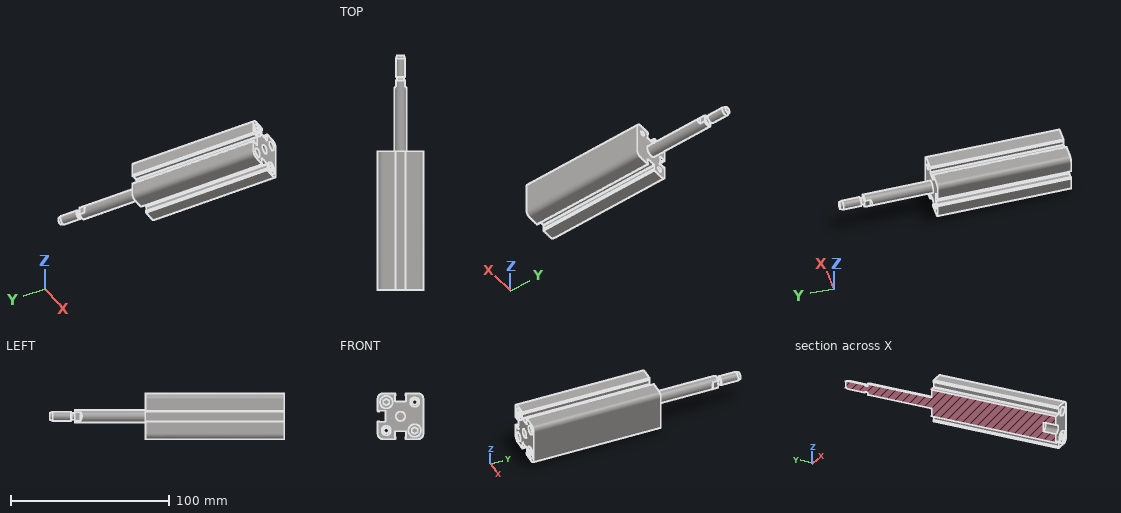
import cadquery as cq

OVERALL_LENGTH = 148.5
BODY_SIDE = 29.1
HALF_SIDE = BODY_SIDE / 2
CORNER_RADIUS = 3.5

CAP_LENGTH = 12.2
BODY_LENGTH = 87.9
TUBE_LENGTH = BODY_LENGTH - 2 * CAP_LENGTH

SLOT_MOUTH_WIDTH = 6.0
SLOT_INNER_WIDTH = 6.8
SLOT_DEPTH = 5.0
SLOT_LIP = 1.2
SLOT_MOUTH_CHAMFER = 0.5
SLOT_FLOOR_CHAMFER = 0.3
SLOT_ANGLES = (0, 90, 180)

FIXING_OFFSET = 18.0 / 2
COUNTERBORE_DIAMETER = 6.0
COUNTERBORE_DEPTH = 3.4
THROUGH_HOLE_DIAMETER = 3.3
CENTRE_HOLE_DIAMETER = 6.0
CENTRE_HOLE_DEPTH = 8.9
SCREW_RECESS_DIAMETER = 8.0
SCREW_RECESS_DEPTH = 0.3
HEX_CORNER_DIAMETER = 4.2
HEX_SIDES = 6
HEX_TURN = 90
HEX_DEPTH = 2.2

ROD_DIAMETER = 8.0
ROD_END_CHAMFER = 0.3
NECK_DIAMETER = 4.5
NECK_LENGTH = 1.8
STUD_DIAMETER = 6.0
STUD_LENGTH = 14.0
STUD_TIP_DIAMETER = 4.5
STUD_TIP_LENGTH = 2.1
STUD_RUN_OUT = 0.5
FLATS_WIDTH = 6.0
FLATS_LENGTH = 3.7

STUD_START_Y = OVERALL_LENGTH - STUD_LENGTH
SHOULDER_Y = STUD_START_Y - NECK_LENGTH


def plane_at(y):
    """Plane across the axis at position y, with local x = X, local y = Z and normal -Y."""
    return cq.Workplane("XZ", origin=(0, y, 0))


def slot(angle, start_y, length):
    """Cutter for one stepped slot on the top side, turned about Y by the angle."""
    mouth_half = SLOT_MOUTH_WIDTH / 2
    inner_half = SLOT_INNER_WIDTH / 2
    floor_half = inner_half - SLOT_FLOOR_CHAMFER
    outer_half = mouth_half + SLOT_MOUTH_CHAMFER
    chamfer_z = HALF_SIDE - SLOT_MOUTH_CHAMFER
    lip_z = HALF_SIDE - SLOT_LIP
    floor_z = HALF_SIDE - SLOT_DEPTH
    return (
        plane_at(start_y)
        .polyline([
            (-outer_half, HALF_SIDE),
            (-mouth_half, chamfer_z),
            (-mouth_half, lip_z),
            (-inner_half, lip_z),
            (-inner_half, floor_z + SLOT_FLOOR_CHAMFER),
            (-floor_half, floor_z),
            (floor_half, floor_z),
            (inner_half, floor_z + SLOT_FLOOR_CHAMFER),
            (inner_half, lip_z),
            (mouth_half, lip_z),
            (mouth_half, chamfer_z),
            (outer_half, HALF_SIDE),
        ])
        .close()
        .extrude(-length)
        .rotate((0, 0, 0), (0, 1, 0), -angle)
    )


def body_section(start_y, length):
    """One length of the rounded square body with its slots."""
    section = (
        plane_at(start_y)
        .rect(BODY_SIDE, BODY_SIDE)
        .extrude(-length)
        .edges("|Y")
        .fillet(CORNER_RADIUS)
    )
    for angle in SLOT_ANGLES:
        section = section.cut(slot(angle, start_y, length))
    return section


def rod():
    """Piston rod with neck, stud and two wrench flats."""
    rod_radius = ROD_DIAMETER / 2
    neck_radius = NECK_DIAMETER / 2
    stud_radius = STUD_DIAMETER / 2
    start_y = BODY_LENGTH - CAP_LENGTH / 2
    shaft = (
        cq.Workplane("XY")
        .moveTo(0, start_y)
        .lineTo(rod_radius, start_y)
        .lineTo(rod_radius, SHOULDER_Y - ROD_END_CHAMFER)
        .lineTo(rod_radius - ROD_END_CHAMFER, SHOULDER_Y)
        .lineTo(neck_radius, SHOULDER_Y)
        .lineTo(neck_radius, STUD_START_Y)
        .lineTo(stud_radius, STUD_START_Y + STUD_RUN_OUT)
        .lineTo(stud_radius, OVERALL_LENGTH - STUD_TIP_LENGTH)
        .lineTo(STUD_TIP_DIAMETER / 2, OVERALL_LENGTH)
        .lineTo(0, OVERALL_LENGTH)
        .close()
        .revolve(360, (0, 0, 0), (0, 1, 0))
    )
    flat_x = FLATS_WIDTH / 2
    run_out = rod_radius - flat_x
    flat_end_y = SHOULDER_Y - FLATS_LENGTH
    flat_cut = (
        cq.Workplane("XY", origin=(0, 0, -rod_radius))
        .moveTo(flat_x, SHOULDER_Y)
        .lineTo(flat_x, flat_end_y)
        .lineTo(rod_radius, flat_end_y - run_out)
        .lineTo(rod_radius, SHOULDER_Y)
        .close()
        .extrude(ROD_DIAMETER)
    )
    return shaft.cut(flat_cut).cut(flat_cut.mirror("YZ"))


body = body_section(0, CAP_LENGTH)
body = body.union(body_section(CAP_LENGTH, TUBE_LENGTH), clean=False)
body = body.union(body_section(CAP_LENGTH + TUBE_LENGTH, CAP_LENGTH), clean=False)

hole_points = [(FIXING_OFFSET, FIXING_OFFSET), (-FIXING_OFFSET, -FIXING_OFFSET)]
counterbores = (
    plane_at(0)
    .pushPoints(hole_points)
    .circle(COUNTERBORE_DIAMETER / 2)
    .extrude(-COUNTERBORE_DEPTH)
)
through_holes = (
    plane_at(0)
    .pushPoints(hole_points)
    .circle(THROUGH_HOLE_DIAMETER / 2)
    .extrude(-BODY_LENGTH)
)
centre_hole = plane_at(0).circle(CENTRE_HOLE_DIAMETER / 2).extrude(-CENTRE_HOLE_DEPTH)
for hole in (counterbores, through_holes, centre_hole):
    body = body.cut(hole, clean=False)

screw_points = [(-FIXING_OFFSET, FIXING_OFFSET), (FIXING_OFFSET, -FIXING_OFFSET)]
for x, z in screw_points:
    recess = plane_at(0).center(x, z).circle(SCREW_RECESS_DIAMETER / 2).extrude(-SCREW_RECESS_DEPTH)
    socket = (
        plane_at(SCREW_RECESS_DEPTH)
        .center(x, z)
        .polygon(HEX_SIDES, HEX_CORNER_DIAMETER)
        .extrude(-HEX_DEPTH)
        .rotate((x, 0, z), (x, 1, z), HEX_TURN)
    )
    body = body.cut(recess, clean=False).cut(socket, clean=False)

result = body.union(rod(), clean=False)